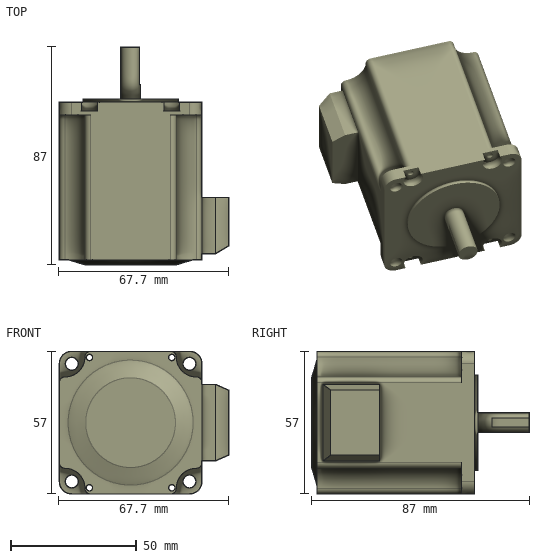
import cadquery as cq

LENGTH = 87.0
SIDE = 57.0
HALF = SIDE / 2
SHAFT_END = LENGTH / 2

SHAFT_RADIUS = 4.0
SHAFT_LENGTH = 20.6
FLAT_OFFSET = 3.6
FLAT_LENGTH = 15.0
PILOT_RADIUS = 19.05
PILOT_HEIGHT = 1.3

FLANGE_THICKNESS = 5.1
FLANGE_CORNER_RADIUS = 5.0
BODY_LENGTH = 57.85
SCALLOP_RADIUS = 8.0
EDGE_RADIUS = 2.3

CAP_BASE_RADIUS = 25.0
CAP_END_RADIUS = 17.9

MOUNT_OFFSET = 23.5
MOUNT_RADIUS = 2.5
SCREW_X = 16.4
SCREW_Z = 26.0
SCREW_RADIUS = 1.2
COUNTERBORE_RADIUS = 4.0
COUNTERBORE_DEPTH = 3.5

CONNECTOR_REACH = 10.7
CONNECTOR_BASE_REACH = 5.4
CONNECTOR_LENGTH = 22.5
CONNECTOR_REAR_GAP = 2.4
CONNECTOR_HALF_HEIGHT = 15.3
CONNECTOR_TIP_HALF_HEIGHT = 13.0
CONNECTOR_REAR_TAPER = 3.1

PILOT_FACE = SHAFT_END - SHAFT_LENGTH
FLANGE_FRONT = PILOT_FACE - PILOT_HEIGHT
FLANGE_BACK = FLANGE_FRONT - FLANGE_THICKNESS
BODY_REAR = FLANGE_BACK - BODY_LENGTH
CAP_HEIGHT = BODY_REAR + SHAFT_END


def section_at(y):
    """Workplane across the motor axis, local X along X, extruding toward -Y."""
    return cq.Workplane("XZ", origin=(0, y, 0))


def corners(x, z):
    return [(sx * x, sz * z) for sx in (-1, 1) for sz in (-1, 1)]


def corner_relief():
    """Concave corner cut whose ends roll over rounded edges onto the sides (+X, +Z corner)."""
    center = HALF - EDGE_RADIUS
    inner = center - SCALLOP_RADIUS
    start = inner - EDGE_RADIUS
    return (
        section_at(FLANGE_BACK)
        .moveTo(start, HALF)
        .radiusArc((inner, center), EDGE_RADIUS)
        .radiusArc((center, inner), -SCALLOP_RADIUS)
        .radiusArc((HALF, start), EDGE_RADIUS)
        .lineTo(HALF, HALF)
        .close()
        .extrude(BODY_LENGTH)
    )


def make_body():
    body = section_at(FLANGE_BACK).rect(SIDE, SIDE).extrude(BODY_LENGTH)
    relief = corner_relief()
    for quarter in range(4):
        body = body.cut(relief.rotate((0, 0, 0), (0, 1, 0), 90 * quarter))
    return body


def make_flange():
    flange = section_at(FLANGE_FRONT).rect(SIDE, SIDE).extrude(FLANGE_THICKNESS)
    return flange.edges("|Y").fillet(FLANGE_CORNER_RADIUS)


def make_shaft():
    shaft = section_at(SHAFT_END).circle(SHAFT_RADIUS).extrude(SHAFT_LENGTH)
    flat_cut = (
        section_at(SHAFT_END)
        .center(FLAT_OFFSET + SHAFT_RADIUS, 0)
        .rect(2 * SHAFT_RADIUS, 2 * SHAFT_RADIUS)
        .extrude(FLAT_LENGTH)
    )
    return shaft.cut(flat_cut)


def make_cap():
    return (
        section_at(BODY_REAR)
        .circle(CAP_BASE_RADIUS)
        .workplane(offset=CAP_HEIGHT)
        .circle(CAP_END_RADIUS)
        .loft()
    )


def make_connector():
    """Plug housing: a block, then a tip tapered on three sides and flush at the front."""
    rear = BODY_REAR + CONNECTOR_REAR_GAP
    middle = rear + CONNECTOR_LENGTH / 2
    base_plane = cq.Workplane("YZ", origin=(HALF, middle, 0))
    base = base_plane.rect(CONNECTOR_LENGTH, 2 * CONNECTOR_HALF_HEIGHT).extrude(CONNECTOR_BASE_REACH)
    tip = (
        base_plane.workplane(offset=CONNECTOR_BASE_REACH)
        .rect(CONNECTOR_LENGTH, 2 * CONNECTOR_HALF_HEIGHT)
        .workplane(offset=CONNECTOR_REACH - CONNECTOR_BASE_REACH)
        .center(CONNECTOR_REAR_TAPER / 2, 0)
        .rect(CONNECTOR_LENGTH - CONNECTOR_REAR_TAPER, 2 * CONNECTOR_TIP_HALF_HEIGHT)
        .loft(ruled=True)
    )
    return base.union(tip)


def make_holes():
    """Mounting holes through the flange and counterbored screw holes through the body."""
    mounts = (
        section_at(FLANGE_FRONT)
        .pushPoints(corners(MOUNT_OFFSET, MOUNT_OFFSET))
        .circle(MOUNT_RADIUS)
        .extrude(FLANGE_THICKNESS)
    )
    screw_points = corners(SCREW_X, SCREW_Z)
    screws = (
        section_at(FLANGE_FRONT)
        .pushPoints(screw_points)
        .circle(SCREW_RADIUS)
        .extrude(FLANGE_THICKNESS + BODY_LENGTH)
    )
    counterbores = (
        section_at(FLANGE_FRONT)
        .pushPoints(screw_points)
        .circle(COUNTERBORE_RADIUS)
        .extrude(COUNTERBORE_DEPTH)
    )
    return mounts, screws, counterbores


housing = make_body().union(make_flange())
for hole_set in make_holes():
    housing = housing.cut(hole_set)

pilot = section_at(PILOT_FACE).circle(PILOT_RADIUS).extrude(PILOT_HEIGHT)
result = housing.union(pilot).union(make_shaft()).union(make_cap()).union(make_connector())

result = result.translate((-CONNECTOR_REACH / 2, 0, 0))